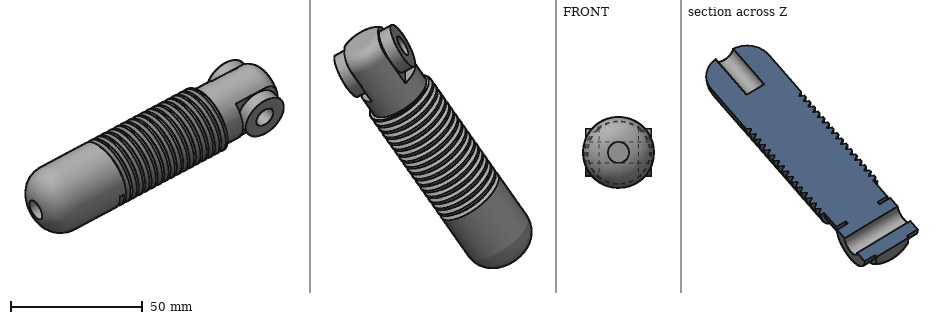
import math
import cadquery as cq

overall_length = 108.93
rear_end_y = 10.0
front_end_y = rear_end_y - overall_length

neck_radius = 12.0
neck_end_y = -18.0
neck_edge_radius = 6.0

body_radius = 13.5
dome_radius = 10.0
bore_radius = 4.0
bore_depth = 20.0

boss_radius = 9.0
boss_length = 25.0
pin_hole_radius = 4.0
flat_spacing = 15.0
flat_end_y = -10.0

thread_pitch = 3.0
groove_width = 2.0
groove_angle = math.radians(60)
groove_depth = groove_width / 2 / math.tan(groove_angle / 2)
groove_start_y = -68.25
groove_turns = 18
groove_end_y = groove_start_y + groove_turns * thread_pitch
blank_end_y = groove_end_y + 2 * thread_pitch


def neck():
    """Round neck with flats on both sides around the cross boss."""
    length = rear_end_y - neck_end_y
    rod = (
        cq.Workplane("XZ", origin=(0, rear_end_y, 0))
        .circle(neck_radius)
        .extrude(length)
        .faces(">Y")
        .edges()
        .fillet(neck_edge_radius)
    )
    flat_length = rear_end_y - flat_end_y
    flat_centre_y = (rear_end_y + flat_end_y) / 2
    cheek_depth = neck_radius - flat_spacing / 2
    cheek_centre_x = (neck_radius + flat_spacing / 2) / 2
    for side in (-1, 1):
        cheek = cq.Workplane("XY").box(cheek_depth, flat_length, 2 * neck_radius)
        rod = rod.cut(cheek.translate((side * cheek_centre_x, flat_centre_y, 0)))
    return rod


def blank():
    """Revolved cylinder whose front edge is rounded up to the rim of the bore."""
    arc_centre_r = body_radius - dome_radius
    rim_offset = bore_radius - arc_centre_r
    dome_height = math.sqrt(dome_radius**2 - rim_offset**2)
    dome_start_y = front_end_y + dome_height
    rim_angle = math.acos(rim_offset / dome_radius)
    arc_middle = (
        arc_centre_r + dome_radius * math.cos(rim_angle / 2),
        dome_start_y - dome_radius * math.sin(rim_angle / 2),
    )
    bore_end_y = front_end_y + bore_depth
    return (
        cq.Workplane("XY")
        .moveTo(0, blank_end_y)
        .lineTo(body_radius, blank_end_y)
        .lineTo(body_radius, dome_start_y)
        .threePointArc(arc_middle, (bore_radius, front_end_y))
        .lineTo(bore_radius, bore_end_y)
        .lineTo(0, bore_end_y)
        .close()
        .revolve(360, (0, 0, 0), (0, 1, 0))
    )


def thread_groove():
    """Helical V cutter, built along Z and then turned so that its axis is Y."""
    overlap = 0.5
    root_radius = body_radius - groove_depth
    outer_radius = body_radius + overlap
    outer_half_width = groove_width / 2 * (groove_depth + overlap) / groove_depth
    helix = cq.Wire.makeHelix(thread_pitch, groove_turns * thread_pitch, body_radius)
    cutter = (
        cq.Workplane("XZ")
        .moveTo(root_radius, 0)
        .lineTo(outer_radius, outer_half_width)
        .lineTo(outer_radius, -outer_half_width)
        .close()
        .sweep(cq.Workplane(obj=helix), isFrenet=True)
    )
    return cutter.rotate((0, 0, 0), (1, 0, 0), -90).translate((0, groove_start_y, 0))


def cross_cylinder(radius, length):
    """Cylinder on the X axis, centred on the pin axis origin."""
    return cq.Workplane("YZ").circle(radius).extrude(length / 2, both=True)


def threaded_body():
    """Body with the groove cut along an overlong blank, trimmed off square at the neck."""
    surplus = (
        cq.Workplane("XZ", origin=(0, blank_end_y, 0))
        .circle(2 * body_radius)
        .extrude(blank_end_y - neck_end_y)
    )
    return blank().cut(thread_groove()).cut(surplus)


pin_hole = cross_cylinder(pin_hole_radius, 2 * boss_length)
result = (
    neck()
    .union(threaded_body())
    .union(cross_cylinder(boss_radius, boss_length))
    .cut(pin_hole)
)